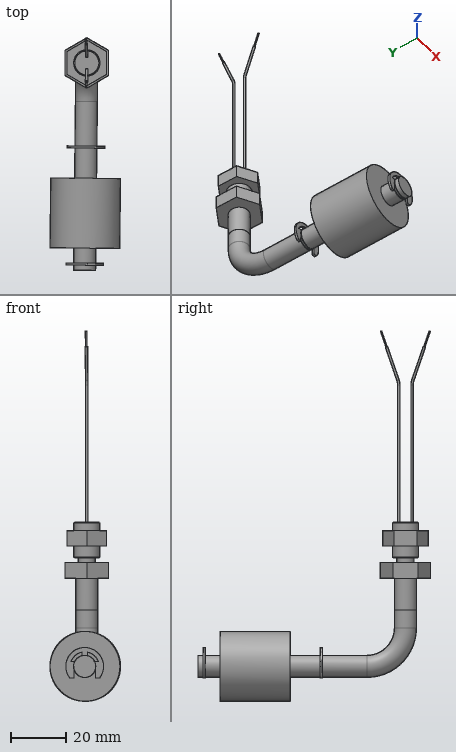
import cadquery as cq
import math


FLOAT_DIA = 25.4
FLOAT_LENGTH = 25.4
FLOAT_START = 41.8

TUBE_DIA = 8.0
BEND_RADIUS = 14.0
LEG_Z = FLOAT_DIA / 2
LEG_REACH = 75.2
LEG_YAW = 0.6
TUBE_TOP_Z = 33.0

HEX_FLATS = 15.9
HEX_BOTTOM_Z = 44.6
HEX_HEIGHT = 5.8
NECK_DIA = 6.3
THREAD_DIA = 9.5
THREAD_BOTTOM_Z = 52.0
THREAD_TOP_Z = 65.0
THREAD_CHAMFER = 0.4

NUT_FLATS = 14.4
NUT_BOTTOM_Z = 56.3
NUT_HEIGHT = 5.6

CLIP_DIA = 13.7
GROOVE_DIA = 7.3
CLIP_THICKNESS = 0.8
CLIP_PLACES = (30.5, 73.0)
CLIP_OPENING = 7.8
CLIP_PRONG_DROP = 4.3
CLIP_PRONG_FILLET = 0.4
RELIEF_DIA = 10.5
RELIEF_BOTTOM = 1.7
CLIP_TOOTH_WIDTH = 1.9

WIRE_DIA = 1.0
CORE_DIA = 0.5
WIRE_OFFSET = 2.4
WIRE_BEND_Z = 114.7
WIRE_BEND_RADIUS = 5.4
WIRE_SPLAY = 19.0
CORE_START_Z = 128.6
WIRE_TOP_Z = 134.4
WIRE_YAWS = {1: 3.0, -1: 1.5}


def leg_plane(distance):
    """Plane across the leg at a distance from the stem axis.

    Its y runs along +Z, its normal toward the free end and its x across the leg toward +X.
    """
    yaw = math.radians(LEG_YAW)
    along = cq.Vector(-math.sin(yaw), -math.cos(yaw), 0)
    origin = along * distance + cq.Vector(0, 0, LEG_Z)
    return cq.Plane(origin=origin, xDir=(math.cos(yaw), -math.sin(yaw), 0), normal=along)


def hexagon(flats, bottom_z, height):
    """Hexagonal prism with two corners on the Y axis."""
    corners = flats / math.cos(math.pi / 6)
    prism = cq.Workplane("XY").polygon(6, corners).extrude(height)
    return prism.rotate((0, 0, 0), (0, 0, 1), 90).translate((0, 0, bottom_z))


def cylinder(diameter, bottom_z, top_z):
    return cq.Workplane("XY", origin=(0, 0, bottom_z)).circle(diameter / 2).extrude(top_z - bottom_z)


def make_tube():
    bend_end_z = LEG_Z + BEND_RADIUS
    slant = BEND_RADIUS * (1 - math.sqrt(0.5))
    path = (
        cq.Workplane("YZ")
        .moveTo(0, TUBE_TOP_Z)
        .lineTo(0, bend_end_z)
        .threePointArc((-slant, LEG_Z + slant), (-BEND_RADIUS, LEG_Z))
        .lineTo(-LEG_REACH, LEG_Z)
    )
    tube = cq.Workplane("XY", origin=(0, 0, TUBE_TOP_Z)).circle(TUBE_DIA / 2).sweep(path)
    tube = tube.rotate((0, 0, 0), (0, 0, 1), -LEG_YAW)
    for distance in CLIP_PLACES:
        start = cq.Workplane(leg_plane(distance - CLIP_THICKNESS / 2))
        groove = start.circle(CLIP_DIA / 2).circle(GROOVE_DIA / 2).extrude(CLIP_THICKNESS)
        tube = tube.cut(groove)
    return tube


def make_fitting():
    shank = cylinder(TUBE_DIA, TUBE_TOP_Z, HEX_BOTTOM_Z)
    head = hexagon(HEX_FLATS, HEX_BOTTOM_Z, HEX_HEIGHT)
    neck = cylinder(NECK_DIA, HEX_BOTTOM_Z + HEX_HEIGHT, THREAD_BOTTOM_Z)
    thread = cylinder(THREAD_DIA, THREAD_BOTTOM_Z, THREAD_TOP_Z).edges().chamfer(THREAD_CHAMFER)
    return shank.union(head).union(neck).union(thread)


def make_nut():
    bore = cylinder(THREAD_DIA, NUT_BOTTOM_Z, NUT_BOTTOM_Z + NUT_HEIGHT)
    return hexagon(NUT_FLATS, NUT_BOTTOM_Z, NUT_HEIGHT).cut(bore)


def make_float():
    section = cq.Workplane(leg_plane(FLOAT_START)).circle(FLOAT_DIA / 2).circle(TUBE_DIA / 2)
    return section.extrude(FLOAT_LENGTH)


def make_clip(distance):
    """E-shaped clip that opens downward and is centred at a distance along the leg."""
    rear = leg_plane(distance - CLIP_THICKNESS / 2)
    plane = cq.Workplane(rear)

    def block(width, bottom, top, centre_x=0.0):
        """Box as thick as the clip, with heights taken from the leg axis."""
        outline = plane.center(centre_x, (bottom + top) / 2).rect(width, top - bottom)
        return outline.extrude(CLIP_THICKNESS)

    radius = CLIP_DIA / 2
    clip = plane.circle(radius).extrude(CLIP_THICKNESS)
    clip = clip.intersect(block(CLIP_DIA, -CLIP_PRONG_DROP, radius))
    clip = clip.cut(block(CLIP_OPENING, -radius, 0))
    along_leg = cq.selectors.ParallelDirSelector(rear.zDir)
    clip = clip.faces("<Z").edges(along_leg).fillet(CLIP_PRONG_FILLET)
    clip = clip.cut(plane.circle(GROOVE_DIA / 2).extrude(CLIP_THICKNESS))

    relief_width = (RELIEF_DIA - CLIP_TOOTH_WIDTH) / 2
    relief_ring = plane.circle(RELIEF_DIA / 2).extrude(CLIP_THICKNESS)
    for side in (-1, 1):
        centre_x = side * (CLIP_TOOTH_WIDTH + relief_width) / 2
        relief = block(relief_width, RELIEF_BOTTOM, radius, centre_x)
        clip = clip.cut(relief_ring.intersect(relief))
    return clip


def make_wire(side):
    """Insulated wire with a bare core at its tip, splayed toward side * Y."""
    splay = math.radians(WIRE_SPLAY)
    bend_y = WIRE_BEND_RADIUS * (1 - math.cos(splay))
    bend_z = WIRE_BEND_RADIUS * math.sin(splay)

    def splayed_point(z):
        return WIRE_OFFSET + bend_y + (z - WIRE_BEND_Z - bend_z) * math.tan(splay), z

    mid_bend = (
        WIRE_OFFSET + WIRE_BEND_RADIUS * (1 - math.cos(splay / 2)),
        WIRE_BEND_Z + WIRE_BEND_RADIUS * math.sin(splay / 2),
    )
    path = (
        cq.Workplane("YZ")
        .moveTo(WIRE_OFFSET, THREAD_TOP_Z)
        .lineTo(WIRE_OFFSET, WIRE_BEND_Z)
        .threePointArc(mid_bend, splayed_point(WIRE_BEND_Z + bend_z))
        .lineTo(*splayed_point(CORE_START_Z))
    )
    insulation = (
        cq.Workplane("XY", origin=(0, WIRE_OFFSET, THREAD_TOP_Z)).circle(WIRE_DIA / 2).sweep(path)
    )
    core_y, core_z = splayed_point(CORE_START_Z)
    direction = (0, math.sin(splay), math.cos(splay))
    core_plane = cq.Plane(origin=(0, core_y, core_z), xDir=(1, 0, 0), normal=direction)
    tip_drop = CORE_DIA / 2 * math.sin(splay)
    core_length = (WIRE_TOP_Z - tip_drop - core_z) / math.cos(splay)
    core = cq.Workplane(core_plane).circle(CORE_DIA / 2).extrude(core_length)
    wire = insulation.union(core)
    if side < 0:
        wire = wire.mirror("XZ")
    turn_point = (0, side * WIRE_OFFSET)
    return wire.rotate((*turn_point, 0), (*turn_point, 1), side * WIRE_YAWS[side])


tube = make_tube()
fitting = make_fitting()
nut = make_nut()
float_body = make_float()
clips = [make_clip(distance) for distance in CLIP_PLACES]
wires = [make_wire(side) for side in WIRE_YAWS]

result = cq.Compound.makeCompound(
    [tube.val(), fitting.val(), nut.val(), float_body.val()]
    + [clip.val() for clip in clips]
    + [wire.val() for wire in wires]
)